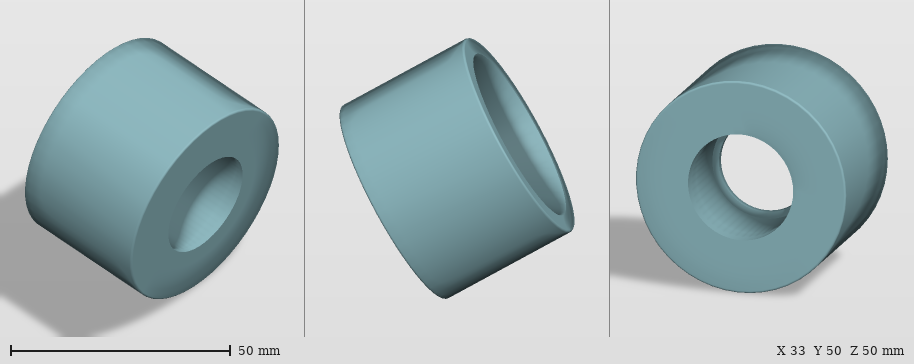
import cadquery as cq

length = 33.0
outer_diameter = 50.0
edge_radius = 0.5
mouth_diameter = 41.65
throat_diameter = 21.9
socket_diameter = 25.0
cone_depth = 12.5
throat_length = 1.65

front_x = -length / 2
back_x = length / 2
throat_start_x = front_x + cone_depth
throat_end_x = throat_start_x + throat_length


def ring_body():
    """Solid cylinder along X with both outer rims rounded."""
    cylinder = cq.Workplane("YZ", origin=(front_x, 0, 0)).circle(outer_diameter / 2).extrude(length)
    return cylinder.edges().fillet(edge_radius)


def bore():
    """Conical mouth, short cylindrical throat and wider cylindrical socket, as one cutter."""
    profile = (
        cq.Workplane("XY")
        .moveTo(front_x, 0)
        .lineTo(front_x, mouth_diameter / 2)
        .lineTo(throat_start_x, throat_diameter / 2)
        .lineTo(throat_end_x, throat_diameter / 2)
        .lineTo(throat_end_x, socket_diameter / 2)
        .lineTo(back_x, socket_diameter / 2)
        .lineTo(back_x, 0)
        .close()
    )
    return profile.revolve(360, (0, 0, 0), (1, 0, 0))


result = ring_body().cut(bore())